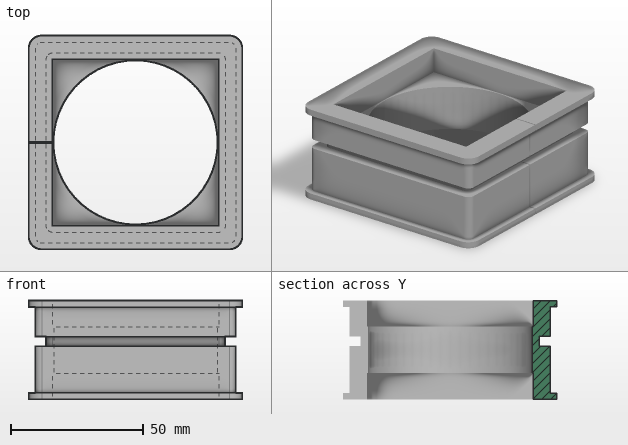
import cadquery as cq

outer_side = 81.0
height = 37.5
flange_thickness = 2.5
flange_overhang = 2.5
flange_corner_radius = 5.0
body_corner_radius = 2.5

groove_bottom = 20.2
groove_top = 23.8
groove_depth = 4.05

pocket_side = 63.0
pocket_depth = 10.0
bore_diameter = 62.05

slit_width = 0.5

body_side = outer_side - 2 * flange_overhang
groove_side = body_side - 2 * groove_depth


def square_block(side, bottom, top, corner_radius):
    """Centred square block with rounded vertical edges."""
    block = cq.Workplane("XY").workplane(offset=bottom).rect(side, side).extrude(top - bottom)
    return block.edges("|Z").fillet(corner_radius)


def square_pocket(bottom):
    """Sharp-cornered cutter for one end pocket."""
    return cq.Workplane("XY").workplane(offset=bottom).rect(pocket_side, pocket_side).extrude(pocket_depth)


frame = square_block(groove_side, 0, height, body_corner_radius)
for bottom, top in ((0, groove_bottom), (groove_top, height)):
    frame = frame.union(square_block(body_side, bottom, top, body_corner_radius))
for bottom in (0, height - flange_thickness):
    frame = frame.union(square_block(outer_side, bottom, bottom + flange_thickness, flange_corner_radius))

for bottom in (0, height - pocket_depth):
    frame = frame.cut(square_pocket(bottom))
frame = frame.cut(cq.Workplane("XY").circle(bore_diameter / 2).extrude(height))

slit = cq.Workplane("XY").center(-outer_side / 4, 0).rect(outer_side / 2, slit_width).extrude(height)
result = frame.cut(slit)